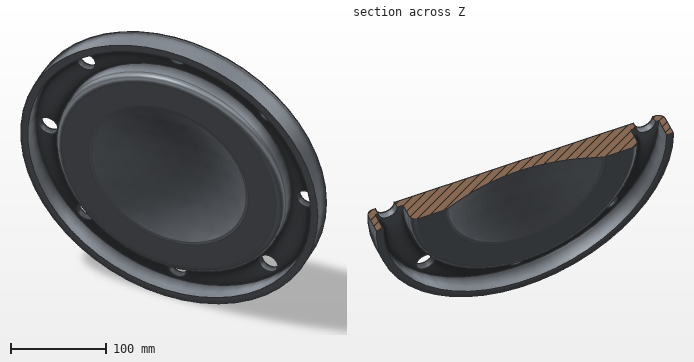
import cadquery as cq

thickness = 31.0
outer_radius = 170.0
rim_width = 8.0
floor_thickness = 8.0
edge_radius = 8.0
boss_protrusion = 1.8
boss_radius = 130.5
dish_mouth_radius = 89.8
dish_depth = 18.4
bolt_count = 8
bolt_circle_radius = 147.5
bolt_hole_diameter = 21.5

boss_face_y = -thickness / 2
back_face_y = thickness / 2
rim_face_y = boss_face_y + boss_protrusion
floor_y = back_face_y - floor_thickness

dish_sphere_radius = (dish_mouth_radius**2 + dish_depth**2) / (2 * dish_depth)
dish_sphere_center_y = boss_face_y + dish_depth - dish_sphere_radius


def disc(radius, front_y, back_y):
    """Cylinder about the Y axis between two axial positions."""
    front_plane = cq.Workplane("XZ", origin=(0, front_y, 0))
    return front_plane.circle(radius).extrude(front_y - back_y)


def make_pan():
    """Round plate with a raised rim and a rounded back edge."""
    pan = disc(outer_radius, rim_face_y, back_face_y).faces(">Y").edges().fillet(edge_radius)
    return pan.cut(disc(outer_radius - rim_width, rim_face_y, floor_y))


def make_dished_boss():
    """Central boss with a spherical dish; its front edges are rounded."""
    boss = disc(boss_radius, boss_face_y, back_face_y)
    sphere = cq.Workplane("XY").sphere(dish_sphere_radius).translate((0, dish_sphere_center_y, 0))
    return boss.cut(sphere).faces("<Y").edges().fillet(edge_radius)


def make_bolt_holes():
    """Cutters for the ring of holes through the floor."""
    hole_plane = cq.Workplane("XZ", origin=(0, floor_y, 0))
    hole_centers = hole_plane.polarArray(bolt_circle_radius, 0, 360, bolt_count)
    return hole_centers.circle(bolt_hole_diameter / 2).extrude(-floor_thickness)


result = make_pan().union(make_dished_boss()).cut(make_bolt_holes())